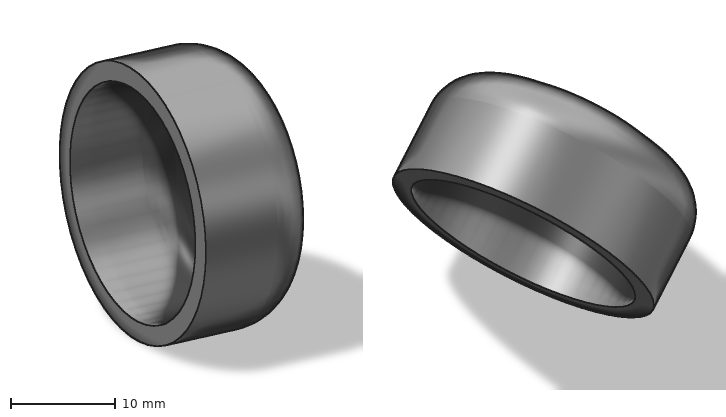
import cadquery as cq
import math

outer_diameter = 28.0
bore_diameter = 24.0
total_depth = 14.45
skirt_length = 8.0
knuckle_radius = 4.9
knuckle_sweep = math.radians(66.0)

wall = (outer_diameter - bore_diameter) / 2


def domed_solid(radius, knuckle, apex):
    """Solid of revolution: straight skirt, knuckle arc, then a shallow crown arc to the apex."""
    knuckle_center = radius - knuckle

    def on_knuckle(angle):
        x = knuckle_center + knuckle * math.cos(angle)
        y = skirt_length + knuckle * math.sin(angle)
        return (x, y)

    seam = on_knuckle(knuckle_sweep)

    crown_rise = apex - seam[1]
    crown_radius = (seam[0] ** 2 + crown_rise ** 2) / (2 * crown_rise)
    half_angle = math.asin(seam[0] / crown_radius) / 2
    crown_middle = (
        crown_radius * math.sin(half_angle),
        apex - crown_radius * (1 - math.cos(half_angle)),
    )

    return (
        cq.Workplane("XY")
        .moveTo(0, 0)
        .lineTo(radius, 0)
        .lineTo(radius, skirt_length)
        .threePointArc(on_knuckle(knuckle_sweep / 2), seam)
        .threePointArc(crown_middle, (0, apex))
        .close()
        .revolve(360, (0, 0, 0), (0, 1, 0))
    )


outside = domed_solid(outer_diameter / 2, knuckle_radius, total_depth)
cavity = domed_solid(bore_diameter / 2, knuckle_radius - wall, total_depth - wall)

result = outside.cut(cavity)